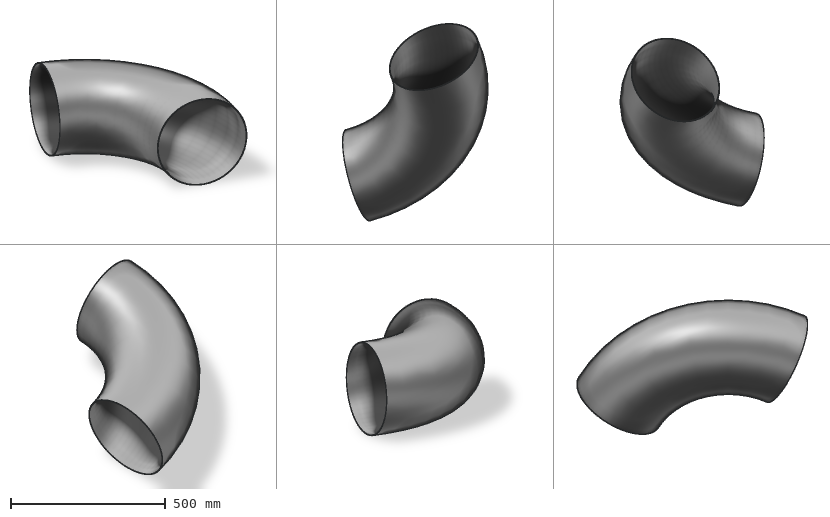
import cadquery as cq

overall_size = 552.5
outer_diameter = 305.0
wall_thickness = 2.5
bend_angle = 90

outer_radius = outer_diameter / 2
inner_radius = outer_radius - wall_thickness
bend_radius = overall_size - outer_radius

pipe_section = cq.Workplane("XZ").circle(outer_radius).circle(inner_radius)

axis_start = (bend_radius, 0, 0)
axis_end = (bend_radius, -1, 0)
result = pipe_section.revolve(bend_angle, axis_start, axis_end)